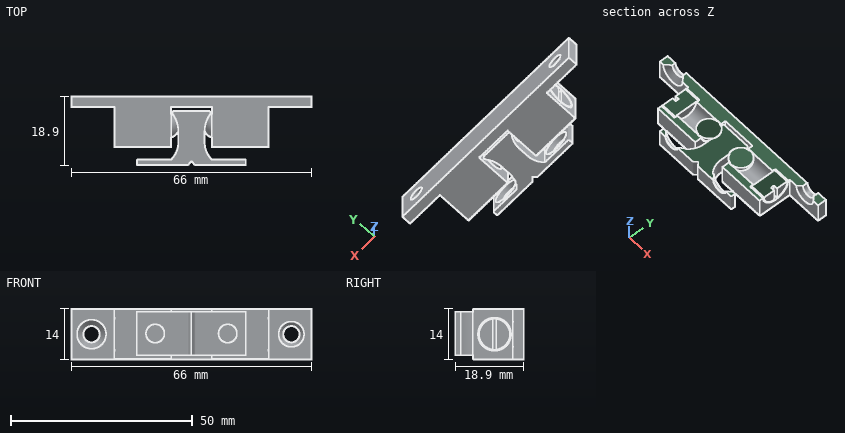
import cadquery as cq
import math


LENGTH = 66.0
HEIGHT = 14.0
HOUSING_DEPTH = 14.0
PLATE_THICKNESS = 3.0
BLOCK_OUTER_X = 21.2
BLOCK_INNER_X = 5.6
BLOCK_CHAMFER = 0.2
MOUNT_HOLE_X = 27.45
MOUNT_HOLE_DIAMETER = 4.4
LARGE_SINK_DIAMETER = 8.0
SMALL_SINK_DIAMETER = 7.0
SINK_ANGLE = 90.0

AXIS_Y = -8.05
BALL_DIAMETER = 7.0
BALL_X = 6.7
SCREW_DIAMETER = 8.5
SCREW_LENGTH = 5.3
SCREW_SLOT_WIDTH = 1.0
SCREW_SLOT_DEPTH = 1.3
SCREW_BORE_DIAMETER = 9.1

TOTAL_DEPTH = 18.9
STRIKE_HEIGHT = 12.0
STRIKE_Z = 0.2
FLANGE_HALF_LENGTH = 15.0
FLANGE_THICKNESS = 1.6
FLANGE_BACK_ROUND = 0.3
FLANGE_FRONT_ROUND = 0.1
FLANGE_HOLE_X = 9.95
FLANGE_HOLE_DIAMETER = 5.1
NECK_HALF_WIDTH = 3.6
NECK_FRONT_Y = -12.55
NECK_BACK_Y = -9.5
ROOT_HALF_WIDTH = 5.55
HEAD_HALF_WIDTH = 5.3
HEAD_WIDEST_Y = -4.75
HEAD_BACK_Y = -3.95
HEAD_ROUND = 0.6
NOTCH_HALF_WIDTH = 0.9
NOTCH_DEPTH = 1.05
NOTCH_EDGE_ROUND = 0.45

STRIKE_FRONT_Y = -TOTAL_DEPTH
FLANGE_BACK_Y = STRIKE_FRONT_Y + FLANGE_THICKNESS
SIDES = (-1, 1)


def make_ball(side):
    return cq.Workplane("XY").sphere(BALL_DIAMETER / 2).translate((side * BALL_X, AXIS_Y, 0))


def inward_rod(side, outer_x, diameter, length):
    """Cylinder on the ball axis, running from outer_x towards the middle of the catch."""
    start = cq.Vector(side * outer_x, AXIS_Y, 0)
    return cq.Workplane(cq.Solid.makeCylinder(diameter / 2, length, start, cq.Vector(-side, 0, 0)))


def make_screw(side):
    screw = inward_rod(side, BLOCK_OUTER_X, SCREW_DIAMETER, SCREW_LENGTH)
    slot = cq.Workplane("XY").box(2 * SCREW_SLOT_DEPTH, SCREW_SLOT_WIDTH, 2 * SCREW_DIAMETER)
    return screw.cut(slot.translate((side * BLOCK_OUTER_X, AXIS_Y, 0)))


def make_block(side):
    width = BLOCK_OUTER_X - BLOCK_INNER_X
    block = (
        cq.Workplane("XY")
        .box(width, HOUSING_DEPTH, HEIGHT)
        .faces("<Y")
        .edges("|X")
        .chamfer(BLOCK_CHAMFER)
    )
    center_x = side * (BLOCK_OUTER_X + BLOCK_INNER_X) / 2
    return block.translate((center_x, -HOUSING_DEPTH / 2, 0))


def bore_cutter(side):
    """Screw bore with a thin gap round the screw, stepping down to a ball bore that seats the screw."""
    screw_bore = inward_rod(side, BLOCK_OUTER_X, SCREW_BORE_DIAMETER, SCREW_LENGTH)
    ball_bore = inward_rod(side, BLOCK_OUTER_X, BALL_DIAMETER, BLOCK_OUTER_X - BLOCK_INNER_X)
    return screw_bore.union(ball_bore)


def make_housing():
    housing = cq.Workplane("XY").box(LENGTH, PLATE_THICKNESS, HEIGHT)
    housing = housing.translate((0, -PLATE_THICKNESS / 2, 0))
    for side, sink_diameter in zip(SIDES, (LARGE_SINK_DIAMETER, SMALL_SINK_DIAMETER)):
        housing = (
            housing.union(make_block(side))
            .cut(bore_cutter(side))
            .copyWorkplane(cq.Workplane("XZ", origin=(side * MOUNT_HOLE_X, -PLATE_THICKNESS, 0)))
            .cskHole(MOUNT_HOLE_DIAMETER, sink_diameter, SINK_ANGLE)
        )
    return housing


def tangent_arc_midpoint(neck_y, end_x, end_y):
    """Middle of the arc that leaves the neck side along Y and ends at (end_x, end_y)."""
    rise = end_x - NECK_HALF_WIDTH
    run = end_y - neck_y
    radius = (rise**2 + run**2) / (2 * rise)
    half_angle = math.atan2(rise, abs(run))
    mid_x = NECK_HALF_WIDTH + radius * (1 - math.cos(half_angle))
    mid_y = neck_y + math.copysign(radius * math.sin(half_angle), run)
    return mid_x, mid_y


def make_strike_profile():
    """Half outline on the +X side of the middle plane, mirrored to the other side."""
    root_mid = tangent_arc_midpoint(NECK_FRONT_Y, ROOT_HALF_WIDTH, FLANGE_BACK_Y)
    head_mid = tangent_arc_midpoint(NECK_BACK_Y, HEAD_HALF_WIDTH, HEAD_WIDEST_Y)
    return (
        cq.Workplane("XY", origin=(0, 0, STRIKE_Z - STRIKE_HEIGHT / 2))
        .moveTo(0, STRIKE_FRONT_Y + NOTCH_DEPTH)
        .lineTo(NOTCH_HALF_WIDTH, STRIKE_FRONT_Y)
        .lineTo(FLANGE_HALF_LENGTH, STRIKE_FRONT_Y)
        .lineTo(FLANGE_HALF_LENGTH, FLANGE_BACK_Y)
        .lineTo(ROOT_HALF_WIDTH, FLANGE_BACK_Y)
        .threePointArc(root_mid, (NECK_HALF_WIDTH, NECK_FRONT_Y))
        .lineTo(NECK_HALF_WIDTH, NECK_BACK_Y)
        .threePointArc(head_mid, (HEAD_HALF_WIDTH, HEAD_WIDEST_Y))
        .lineTo(HEAD_HALF_WIDTH, HEAD_BACK_Y)
        .lineTo(0, HEAD_BACK_Y)
        .mirrorY()
    )


def round_upright_edges(body, x, y, radius):
    """Round the upright edges at (x, y) and (-x, y)."""
    for side in SIDES:
        corner = (side * x, y, STRIKE_Z)
        body = body.edges(cq.NearestToPointSelector(corner)).fillet(radius)
    return body


def make_strike(balls):
    strike = make_strike_profile().extrude(STRIKE_HEIGHT)
    strike = round_upright_edges(strike, HEAD_HALF_WIDTH, HEAD_BACK_Y, HEAD_ROUND)
    strike = round_upright_edges(strike, FLANGE_HALF_LENGTH, FLANGE_BACK_Y, FLANGE_BACK_ROUND)
    strike = round_upright_edges(strike, FLANGE_HALF_LENGTH, STRIKE_FRONT_Y, FLANGE_FRONT_ROUND)
    strike = round_upright_edges(strike, NOTCH_HALF_WIDTH, STRIKE_FRONT_Y, NOTCH_EDGE_ROUND)
    strike = (
        strike.copyWorkplane(cq.Workplane("ZX", origin=(0, FLANGE_BACK_Y, STRIKE_Z)))
        .pushPoints([(0, side * FLANGE_HOLE_X) for side in SIDES])
        .cskHole(FLANGE_HOLE_DIAMETER, LARGE_SINK_DIAMETER, SINK_ANGLE, depth=FLANGE_THICKNESS)
    )
    for ball in balls:
        strike = strike.cut(ball)
    return strike


balls = [make_ball(side) for side in SIDES]
screws = [make_screw(side) for side in SIDES]
housing = make_housing()
strike = make_strike(balls)

result = cq.Compound.makeCompound(
    [housing.val(), strike.val(), *[ball.val() for ball in balls], *[screw.val() for screw in screws]]
)